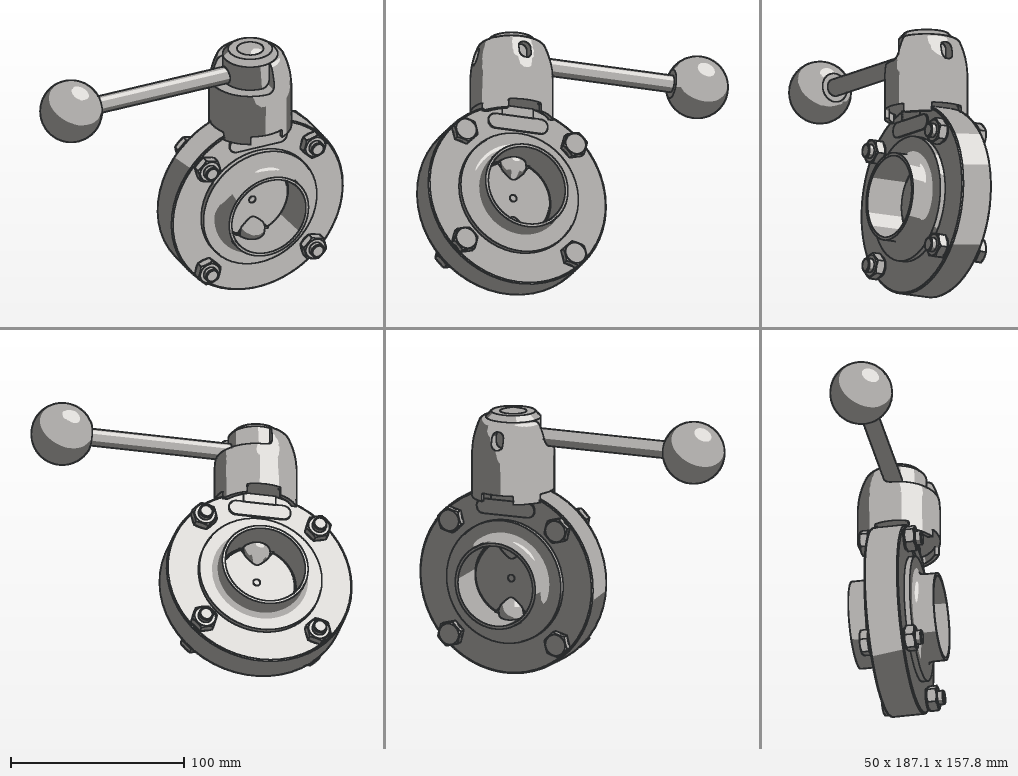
import cadquery as cq
import math


flange_dia = 109.6
flange_width = 20.0
flange_chamfer = 0.7
flange_face = flange_width / 2

overall_length = 50.0
pipe_dia = 50.7
bore_dia = 47.3
shoulder_dia = 72.5
shoulder_half_width = 13.3
pipe_fillet = 4.0

disc_thickness = 5.2
disc_dia = 45.0
disc_center_dia = 4.1
disc_center_height = 0.4
boss_tip_z = 8.6
boss_cone_radius = 7.0
boss_cone_z = 16.0
boss_bulge_radius = 8.5
boss_bulge_z = 20.4
boss_end_radius = 7.9
boss_pad_dia = 21.1
boss_pad_z = 21.1
boss_pad_thickness = 0.4

bolt_offset = 33.7
bolt_dia = 8.0
bolt_end = 20.2
bolt_chamfer = 0.5
hex_flats = 13.1
hex_face_dia = 12.3
hex_chamfer_height = 0.7
hex_tilt = 15.0
head_height = 4.9
nut_height = 6.0
washer_dia = 12.0
washer_thickness = 0.7

pad_length = 36.5
pad_height = 8.8
pad_center_z = 43.2
pad_thickness = 1.1
tab_width = 19.0
tab_thickness = 0.5

housing_dia = 47.7
skirt_bottom = 48.5
skirt_wall = 2.5
window_top = 53.5
window_corner = 1.1
cap_base = 72.6
cap_mid_radius = 22.8
cap_mid_z = 83.0
cap_shoulder_radius = 19.6
cap_shoulder_z = 93.0
cap_top = 95.2

stem_radius = 15.9
stem_top_radius = 12.7
stem_top = 98.6
dome_radius = 7.7
dome_height = 1.7

lever_dia = 10.0
lever_z = 85.0
knob_dia = 36.0
knob_y = -114.3
knob_flat_y = -98.5

latch_width = 7.3
latch_height = 10.5
latch_z = 85.1


def x_cylinder(dia, start, end):
    """Cylinder on the pipe axis."""
    return cq.Workplane("YZ", origin=(start, 0, 0)).circle(dia / 2).extrude(end - start)


def make_flange():
    """Round flange body with both rims chamfered."""
    flange = x_cylinder(flange_dia, -flange_face, flange_face)
    return flange.faces("<X or >X").chamfer(flange_chamfer)


def make_pipe():
    """Solid pipe ends, each blending into a wide shoulder; the bore is cut later."""
    end = overall_length / 2
    pipe_r = pipe_dia / 2
    shoulder_r = shoulder_dia / 2
    blend_x = shoulder_half_width + pipe_fillet
    blend_r = pipe_r + pipe_fillet
    mid = pipe_fillet * (1 - math.sqrt(0.5))
    half = (
        cq.Workplane("XY")
        .moveTo(0, 0)
        .lineTo(0, shoulder_r)
        .lineTo(shoulder_half_width, shoulder_r)
        .lineTo(shoulder_half_width, blend_r)
        .threePointArc((shoulder_half_width + mid, pipe_r + mid), (blend_x, pipe_r))
        .lineTo(end, pipe_r)
        .lineTo(end, 0)
        .close()
        .revolve(360, (0, 0, 0), (1, 0, 0))
    )
    return half.union(half.mirror("YZ"))


def make_disc():
    """Closing disc in its seat, with a bulged pivot boss on a thin pad above and below."""
    half = disc_thickness / 2
    center_end = half + disc_center_height
    disc = x_cylinder(disc_dia, -half, half)
    disc = disc.union(x_cylinder(bore_dia, -half / 2, half / 2))
    disc = disc.union(x_cylinder(disc_center_dia, -center_end, center_end))
    boss = (
        cq.Workplane("XZ")
        .moveTo(0, boss_tip_z)
        .lineTo(boss_cone_radius, boss_cone_z)
        .threePointArc((boss_bulge_radius, boss_bulge_z), (boss_end_radius, bore_dia / 2))
        .lineTo(boss_end_radius, pipe_dia / 2)
        .lineTo(0, pipe_dia / 2)
        .close()
        .revolve(360, (0, 0, 0), (0, 1, 0))
    )
    pad_cone = (
        cq.Workplane("XZ")
        .moveTo(0, boss_tip_z)
        .lineTo(boss_pad_dia / 2, boss_pad_z)
        .lineTo(0, boss_pad_z)
        .close()
        .revolve(360, (0, 0, 0), (0, 1, 0))
    )
    pad_end = half + boss_pad_thickness
    boss = boss.union(pad_cone.intersect(x_cylinder(bore_dia, -pad_end, pad_end)))
    return disc.union(boss).union(boss.mirror("XY"))


def make_hexagon(height, chamfered_faces):
    """Hexagon along +X with its corners turned off by a cone at the chosen end faces."""
    corner_dia = hex_flats / math.cos(math.pi / 6)
    corner_cut = (corner_dia - hex_face_dia) / 2
    turned = x_cylinder(corner_dia, 0, height).faces(chamfered_faces).chamfer(hex_chamfer_height, corner_cut)
    return cq.Workplane("YZ").polygon(6, corner_dia).extrude(height).intersect(turned)


def make_bolt(y, z):
    """Bolt with its head on the -X side and its nut on the +X side."""
    tilt = hex_tilt if y * z > 0 else -hex_tilt
    seat = flange_face + washer_thickness
    axis = ((0, 0, 0), (1, 0, 0))
    head = make_hexagon(head_height, ">X").mirror("YZ").rotate(*axis, tilt).translate((-seat, 0, 0))
    nut = make_hexagon(nut_height, "<X or >X").rotate(*axis, tilt).translate((seat, 0, 0))
    shank = x_cylinder(bolt_dia, -seat, bolt_end).faces(">X").chamfer(bolt_chamfer)
    washers = x_cylinder(washer_dia, -seat, seat)
    return head.union(nut).union(shank).union(washers).translate((0, y, z))


def make_pads():
    """Rounded pad on each flange face, with a thinner tab reaching up into the housing window."""
    pad_end = flange_face + pad_thickness
    tab_end = flange_face + tab_thickness
    pads = (
        cq.Workplane("YZ", origin=(-pad_end, 0, pad_center_z))
        .slot2D(pad_length, pad_height)
        .extrude(2 * pad_end)
    )
    tab_height = window_top - pad_center_z
    tab_z = (window_top + pad_center_z) / 2
    tabs = cq.Workplane("XY", origin=(0, 0, tab_z)).box(2 * tab_end, tab_width, tab_height)
    return pads.union(tabs)


def make_housing():
    """Sleeve straddling the flange, closed by a barrel-shaped cap."""
    radius = housing_dia / 2
    housing = (
        cq.Workplane("XZ")
        .moveTo(0, cap_top)
        .lineTo(stem_radius, cap_top)
        .tangentArcPoint((cap_shoulder_radius, cap_shoulder_z), relative=False)
        .threePointArc((cap_mid_radius, cap_mid_z), (radius, cap_base))
        .lineTo(radius, skirt_bottom)
        .lineTo(radius - skirt_wall, skirt_bottom)
        .lineTo(radius - skirt_wall, window_top)
        .lineTo(0, window_top)
        .close()
        .revolve(360, (0, 0, 0), (0, 1, 0))
    )
    window_height = 2 * (window_top - skirt_bottom)
    for angle in (0, 90):
        window = (
            cq.Workplane("XY", origin=(0, 0, skirt_bottom))
            .box(flange_dia, flange_width, window_height)
            .edges("|X")
            .fillet(window_corner)
            .rotate((0, 0, 0), (0, 0, 1), angle)
        )
        housing = housing.cut(window)
    housing = housing.cut(make_lever_opening())
    for angle in (90, 180):
        latch = (
            cq.Workplane("YZ", origin=(0, 0, latch_z))
            .slot2D(latch_height, latch_width, 90)
            .extrude(housing_dia)
            .rotate((0, 0, 0), (0, 0, 1), angle)
        )
        housing = housing.cut(latch)
    return housing


def make_lever_opening():
    """Quarter-turn swing space for the lever, from -Y to +X, open to the top and round at its ends."""
    reach = housing_dia
    lever_r = lever_dia / 2
    floor = lever_z - lever_r
    sector = cq.Workplane("XY", origin=(0, 0, floor)).rect(reach, -reach, centered=False).extrude(reach)
    lane = cq.Workplane("YZ", origin=(0, 0, lever_z)).circle(lever_r).extrude(reach)
    lane_top = cq.Workplane("YZ", origin=(0, 0, lever_z + reach / 2)).rect(lever_dia, reach).extrude(reach)
    lane = lane.union(lane_top)
    lever_lane = lane.rotate((0, 0, 0), (0, 0, 1), -90)
    return sector.union(lane).union(lever_lane)


def make_stem():
    """Stem inside the cap with a coned top and a shallow dome."""
    dome_sphere_r = (dome_radius**2 + dome_height**2) / (2 * dome_height)
    dome_mid_x = dome_radius / 2
    dome_mid_z = stem_top + dome_height - dome_sphere_r + math.sqrt(dome_sphere_r**2 - dome_mid_x**2)
    return (
        cq.Workplane("XZ")
        .moveTo(0, cap_base)
        .lineTo(stem_radius, cap_base)
        .lineTo(stem_radius, cap_top)
        .lineTo(stem_top_radius, stem_top)
        .lineTo(dome_radius, stem_top)
        .threePointArc((dome_mid_x, dome_mid_z), (0, stem_top + dome_height))
        .close()
        .revolve(360, (0, 0, 0), (0, 1, 0))
    )


def make_lever():
    """Round lever from the stem to a ball knob with a flat where the lever enters."""
    rod = cq.Workplane("XZ", origin=(0, 0, lever_z)).circle(lever_dia / 2).extrude(-knob_y)
    knob = cq.Workplane("XY", origin=(0, knob_y, lever_z)).sphere(knob_dia / 2)
    beyond_flat = cq.Workplane("XZ", origin=(0, knob_flat_y, lever_z)).circle(knob_dia).extrude(-knob_dia)
    return rod.union(knob.cut(beyond_flat))


bore = x_cylinder(bore_dia, -overall_length, overall_length)
result = make_flange().union(make_pipe()).union(make_pads())
result = result.cut(bore).union(make_disc())
for bolt_y in (-bolt_offset, bolt_offset):
    for bolt_z in (-bolt_offset, bolt_offset):
        result = result.union(make_bolt(bolt_y, bolt_z))
result = result.union(make_housing()).union(make_stem()).union(make_lever())